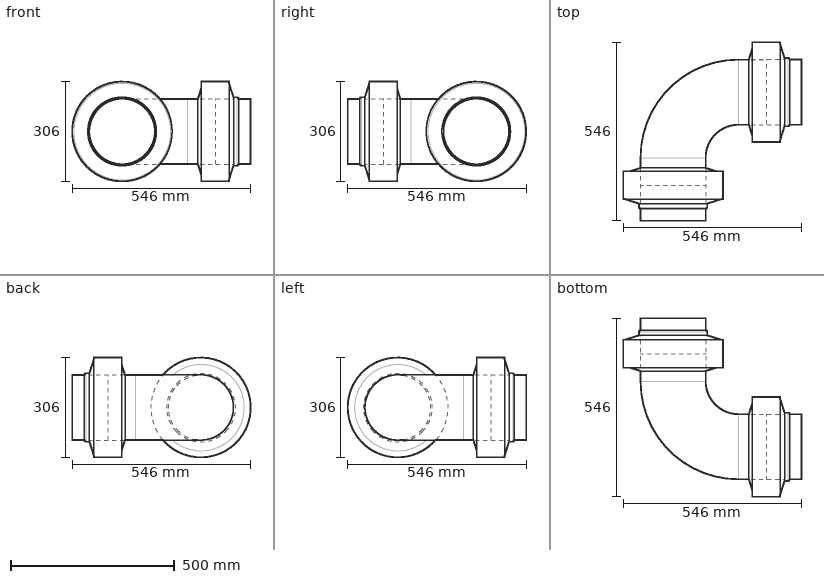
import cadquery as cq

pipe_radius = 100.0
bend_radius = 2 * pipe_radius

collar_radius = 153.0
arm_length = 546.0 - collar_radius
collar_width = 85.5
collar_outer_face = arm_length - 66.0
collar_inner_face = collar_outer_face - collar_width
inner_cone_length = 10.0
inner_cone_radius = 132.0
outer_cone_length = 13.5
outer_cone_radius = 148.0

ring_radius = 105.0
ring_length = 15.5
ring_round = ring_radius - pipe_radius
ring_start = collar_outer_face + outer_cone_length

joint = (collar_inner_face + collar_outer_face) / 2


def make_elbow():
    """Solid quarter bend with a straight spigot reaching the joint at each end."""
    path = (
        cq.Workplane("XY")
        .moveTo(0, -joint)
        .lineTo(0, -bend_radius)
        .radiusArc((bend_radius, 0), bend_radius)
        .lineTo(joint, 0)
    )
    return cq.Workplane("XZ", origin=(0, -joint, 0)).circle(pipe_radius).sweep(path).val()


def make_collar():
    """Collar along +X with a cone at each face and a bore that fits the pipe."""
    profile = [
        (collar_inner_face - inner_cone_length, pipe_radius),
        (collar_inner_face, inner_cone_radius),
        (collar_inner_face, collar_radius),
        (collar_outer_face, collar_radius),
        (collar_outer_face, outer_cone_radius),
        (ring_start, ring_radius),
        (ring_start, pipe_radius),
    ]
    return cq.Workplane("XY").polyline(profile).close().revolve(360, (0, 0), (1, 0)).val()


def make_tailpiece():
    """Plain solid pipe end along +X carrying a stop ring with a rounded outer edge."""
    pipe = cq.Workplane("YZ", origin=(joint, 0, 0)).circle(pipe_radius).extrude(arm_length - joint)
    ring = (
        cq.Workplane("YZ", origin=(ring_start, 0, 0))
        .circle(ring_radius)
        .extrude(ring_length)
        .faces(">X")
        .edges()
        .fillet(ring_round)
    )
    return pipe.union(ring).val()


elbow = make_elbow()
collars = []
tailpieces = []
for arm_angle in (0, -90):
    collars.append(make_collar().rotate((0, 0, 0), (0, 0, 1), arm_angle))
    tailpieces.append(make_tailpiece().rotate((0, 0, 0), (0, 0, 1), arm_angle))

result = cq.Compound.makeCompound([elbow, *collars, *tailpieces])